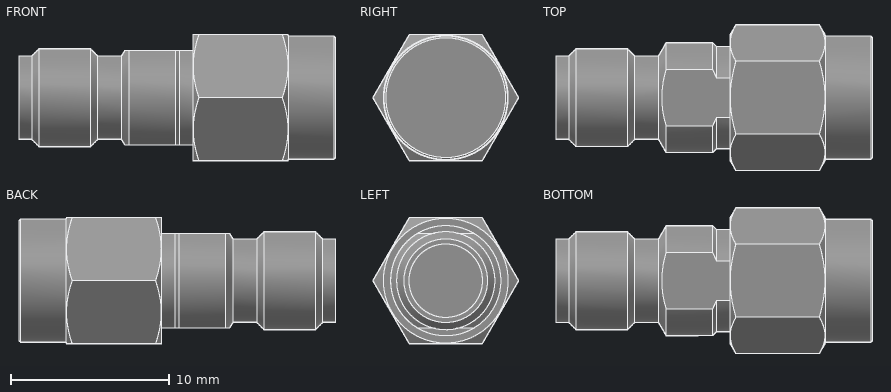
import cadquery as cq
import math

length = 20.05
cone_slope = math.tan(math.radians(30))

tip_radius = 2.65
tip_length = 0.82
collar_radius = 3.1
collar_end = 5.0
collar_chamfer = collar_radius - tip_radius
bore_radius = 2.33
bore_depth = 2.0

body_start = 6.5
body_radius = 3.49
body_end = 10.17
body_cone_length = (body_radius - tip_radius) * cone_slope
body_flat_height = 6.0
groove_radius = 3.25
body_rear_chamfer = body_radius - groove_radius

nut_start = 11.0
nut_end = 17.06
nut_across_flats = 8.0
nut_across_corners = nut_across_flats / math.cos(math.radians(30))
nut_face_radius = 3.95
nut_corner_radius = nut_across_corners / 2
nut_chamfer_length = (nut_corner_radius - nut_face_radius) * cone_slope

nut_recess_radius = body_radius
nut_recess_depth = 1.0
nut_recess_end = nut_start + nut_recess_depth

sleeve_radius = 3.9
sleeve_chamfer = 0.12


def turned(profile):
    """Solid of revolution about X from (x, radius) points, closed along the axis."""
    first_x = profile[0][0]
    last_x = profile[-1][0]
    outline = [(first_x, 0), *profile, (last_x, 0)]
    return cq.Workplane("XY").polyline(outline).close().revolve(360, (0, 0), (1, 0))


def plug():
    outside = turned([
        (0, tip_radius),
        (tip_length, tip_radius),
        (tip_length + collar_chamfer, collar_radius),
        (collar_end - collar_chamfer, collar_radius),
        (collar_end, tip_radius),
        (body_start, tip_radius),
    ])
    bore = turned([(0, bore_radius), (bore_depth, bore_radius)])
    return outside.cut(bore)


def wrench_body():
    outside = turned([
        (body_start, tip_radius),
        (body_start + body_cone_length, body_radius),
        (body_end - body_rear_chamfer, body_radius),
        (body_end, groove_radius),
        (nut_start, groove_radius),
        (nut_start, nut_recess_radius),
        (nut_recess_end, nut_recess_radius),
    ])
    flats = (
        cq.Workplane("YZ", origin=(body_start, 0, 0))
        .rect(2 * body_radius, body_flat_height)
        .extrude(nut_recess_end - body_start)
    )
    return outside.intersect(flats)


def nut():
    hexagon = (
        cq.Workplane("YZ", origin=(nut_start, 0, 0))
        .polygon(6, nut_across_corners)
        .extrude(nut_end - nut_start)
    )
    corner_rounding = turned([
        (nut_start, nut_face_radius),
        (nut_start + nut_chamfer_length, nut_corner_radius),
        (nut_end - nut_chamfer_length, nut_corner_radius),
        (nut_end, nut_face_radius),
    ])
    recess = turned([(nut_start, nut_recess_radius), (nut_recess_end, nut_recess_radius)])
    return hexagon.intersect(corner_rounding).cut(recess)


def sleeve():
    return turned([
        (nut_end, sleeve_radius),
        (length - sleeve_chamfer, sleeve_radius),
        (length, sleeve_radius - sleeve_chamfer),
    ])


result = plug().union(wrench_body()).union(nut()).union(sleeve())